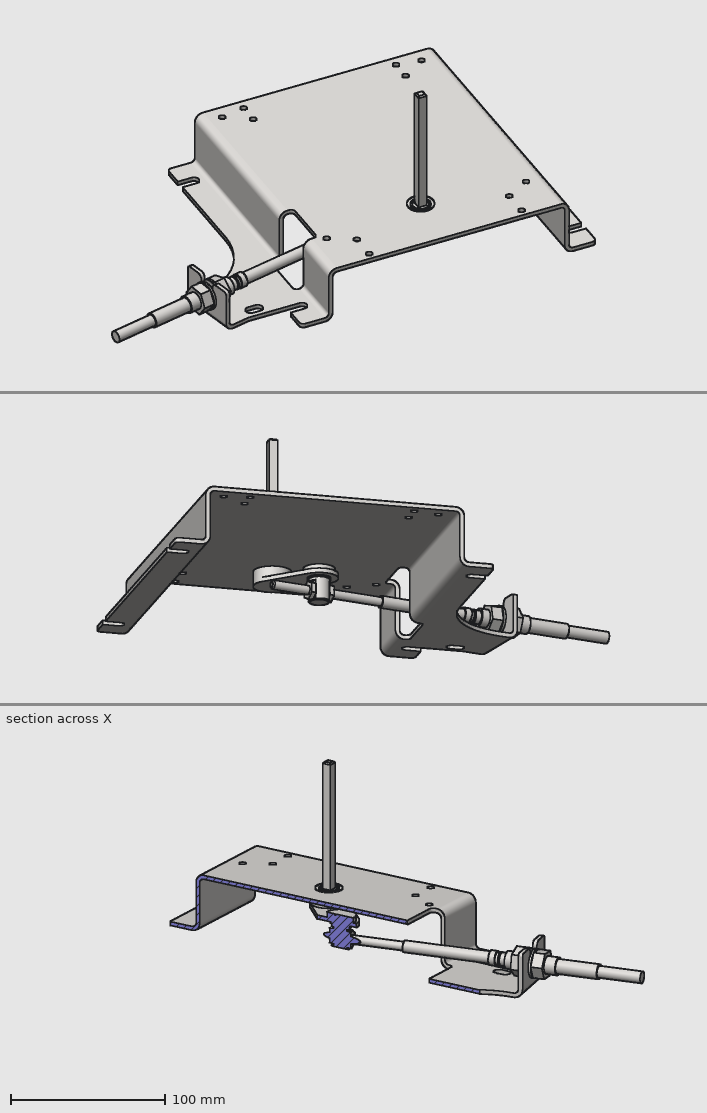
import cadquery as cq
import math

SHEET = 3.0
BEND_INNER = 3.0
BEND_OUTER = BEND_INNER + SHEET
BRACKET_WIDTH = 196.0
BRACKET_LENGTH = 214.0
BRACKET_HEIGHT = 40.0
FOOT_LENGTH = 20.0
FOOT_CORNER_RADIUS = 3.0
FOOT_SLOT_SPACING = 158.0
FOOT_SLOT_WIDTH = 7.0
FOOT_SLOT_DEPTH = 13.5
HALF_LENGTH = BRACKET_LENGTH / 2
DECK_UNDERSIDE = BRACKET_HEIGHT - SHEET

MOUNT_HOLE_DIAMETER = 4.5
OUTER_HOLES_X = (-87.8, 65.0)
OUTER_HOLES_Y = 72.2
INNER_HOLES_X = (-90.8, -76.8, 74.8, 92.8)
INNER_HOLES_Y = 55.2

WINDOW_X = (25.6, 60.9)
WINDOW_Y = (-93.5, -76.9)
WINDOW_CORNER_RADIUS = 3.0

CABLE_ANGLE = 12.0
CABLE_Z = 17.65
LUG_X = 59.5
LUG_Y = -154.86
LUG_WIDTH = 40.0
LUG_HEIGHT = 30.5
LUG_CORNER_RADIUS = 2.0
LUG_NOTCH_WIDTH = 12.0
LUG_NOTCH_RADIUS = 3.5
APRON_ARC_RADIUS = 51.5
APRON_SLOT_X = 68.4
APRON_SLOT_Y = -126.4
APRON_SLOT_LENGTH = 12.0
APRON_SLOT_WIDTH = 7.0

SHAFT_X = 56.7
SHAFT_SQUARE = 6.0
SHAFT_TOP = 127.0
SHAFT_CHAMFER = 1.0
HUB_DIAMETER = 25.0
BUSHING_DIAMETER = 18.0
GROOVE_OUTER = 13.5
GROOVE_INNER = 11.0
BUSHING_RECESS = 0.5
GROOVE_DEPTH = 0.5
LEVER_WIDTH = 25.0
LEVER_LENGTH = 35.0
LEVER_THICKNESS = 3.0
LEVER_ANGLE = 225.0
LEVER_BOTTOM = 27.0
LEVER_TOP = LEVER_BOTTOM + LEVER_THICKNESS
PIVOT_X = SHAFT_X + LEVER_LENGTH * math.cos(math.radians(LEVER_ANGLE))
PIVOT_Y = LEVER_LENGTH * math.sin(math.radians(LEVER_ANGLE))

PIN_HEAD_DIAMETER = 20.8
PIN_HEAD_TOP = 33.5
PIN_DIAMETER = 14.0
PIN_BOTTOM = 10.5
PIN_CHAMFER = 0.8
PIN_FLAT_OFFSET = 5.0
PIN_FLAT_HEIGHT = 12.8
PIN_WASHER_DIAMETER = 15.3
PIN_WASHER_THICKNESS = 1.0
CLAMP_NUT_FLATS = 11.0
CLAMP_NUT_THICKNESS = 3.2
CLAMP_NUT_TURN = 25.0

ROD_DIAMETER = 6.0
ROD_START = -167.7
ROD_CHAMFER = 1.0
TUBE_START = -88.2
THREAD_START = -16.6
CABLE_END = 77.0
CABLE_SECTIONS = (
    (8.0, TUBE_START, -28.3),
    (10.0, -28.3, -23.9),
    (8.0, -23.9, -21.7),
    (9.4, -21.7, -20.6),
    (9.0, -20.6, THREAD_START),
    (12.0, THREAD_START, 18.6),
    (10.0, 18.6, 47.1),
    (8.0, 47.1, CABLE_END),
)
NUT_FLATS = 17.0
NUT_THICKNESS = 7.8
INNER_NUT_TURN = 17.0
OUTER_NUT_TURN = -5.0
WASHER_DIAMETER = 19.5
WASHER_THICKNESS = 1.7

ANGLE = math.radians(CABLE_ANGLE)
CABLE_PLANE = cq.Plane(
    origin=(LUG_X, LUG_Y, CABLE_Z),
    xDir=(math.cos(ANGLE), math.sin(ANGLE), 0),
    normal=(math.sin(ANGLE), -math.cos(ANGLE), 0),
)
PIVOT_STATION = CABLE_PLANE.toLocalCoords(cq.Vector(PIVOT_X, PIVOT_Y, CABLE_Z)).z


def along_cable(station):
    """Workplane square to the cable, a given distance along it from the lug."""
    return cq.Workplane(CABLE_PLANE).workplane(offset=station)


def lug_point(across, station):
    """X, Y of a point given across the lug and along the cable."""
    point = CABLE_PLANE.toWorldCoords((across, 0, station))
    return point.x, point.y


def cylinder(x, y, diameter, bottom, top):
    return cq.Workplane("XY", origin=(x, y, bottom)).circle(diameter / 2).extrude(top - bottom)


def round_bends(sheet, bends):
    """Round edges of a folded sheet, each bend being a point on the edge and its radius."""
    for point, radius in bends:
        sheet = sheet.edges(cq.selectors.NearestToPointSelector(point)).fillet(radius)
    return sheet


def make_bracket():
    web = HALF_LENGTH - FOOT_LENGTH
    half_profile = [
        (web, BRACKET_HEIGHT),
        (web, SHEET),
        (HALF_LENGTH, SHEET),
        (HALF_LENGTH, 0),
        (web - SHEET, 0),
        (web - SHEET, DECK_UNDERSIDE),
    ]
    mirrored = [(-y, z) for y, z in reversed(half_profile)]
    bracket = (
        cq.Workplane("YZ")
        .polyline(half_profile + mirrored)
        .close()
        .extrude(BRACKET_WIDTH / 2, both=True)
    )
    for side in (-1, 1):
        outer_face = side * web
        inner_face = side * (web - SHEET)
        bracket = round_bends(bracket, [
            ((0, outer_face, BRACKET_HEIGHT), BEND_OUTER),
            ((0, inner_face, DECK_UNDERSIDE), BEND_INNER),
            ((0, outer_face, SHEET), BEND_INNER),
            ((0, inner_face, 0), BEND_OUTER),
        ])
    foot_corners = bracket.edges("|Z").edges("<Y or >Y")
    return foot_corners.fillet(FOOT_CORNER_RADIUS)


def make_apron():
    """Flat extension of the front foot that reaches out to the lug."""
    bend_start = -SHEET / 2 - BEND_INNER
    left = lug_point(-LUG_WIDTH / 2, bend_start)
    right = lug_point(LUG_WIDTH / 2, bend_start)
    front = -HALF_LENGTH
    overlap = front + FOOT_CORNER_RADIUS
    right_edge = (FOOT_SLOT_SPACING - FOOT_SLOT_WIDTH) / 2
    kink_y = right[1] + (right[0] - right_edge) / math.tan(ANGLE)

    arc_y = front - APRON_ARC_RADIUS
    end_angle = math.asin((left[1] - arc_y) / APRON_ARC_RADIUS)
    arc_x = left[0] - APRON_ARC_RADIUS * math.cos(end_angle)
    middle_angle = (math.pi / 2 + end_angle) / 2
    arc_middle = (
        arc_x + APRON_ARC_RADIUS * math.cos(middle_angle),
        arc_y + APRON_ARC_RADIUS * math.sin(middle_angle),
    )
    apron = (
        cq.Workplane("XY")
        .moveTo(arc_x, overlap)
        .lineTo(arc_x, front)
        .threePointArc(arc_middle, left)
        .lineTo(*right)
        .lineTo(right_edge, kink_y)
        .lineTo(right_edge, overlap)
        .close()
        .extrude(SHEET)
    )
    slot = (
        cq.Workplane("XY", origin=(APRON_SLOT_X, APRON_SLOT_Y, 0))
        .slot2D(APRON_SLOT_LENGTH, APRON_SLOT_WIDTH, 90)
        .extrude(SHEET)
    )
    return apron.cut(slot)


def make_lug():
    """Upturned end of the apron, with a notch that is open at the top."""
    outer = SHEET / 2
    inner = -outer
    bend_start = inner - BEND_INNER
    side_plane = cq.Plane(
        origin=(LUG_X, LUG_Y, 0), xDir=CABLE_PLANE.zDir, normal=-CABLE_PLANE.xDir
    )
    lug = (
        cq.Workplane(side_plane)
        .moveTo(bend_start, 0)
        .radiusArc((outer, BEND_OUTER), -BEND_OUTER)
        .lineTo(outer, LUG_HEIGHT)
        .lineTo(inner, LUG_HEIGHT)
        .lineTo(inner, BEND_OUTER)
        .radiusArc((bend_start, SHEET), BEND_INNER)
        .close()
        .extrude(LUG_WIDTH / 2, both=True)
    )
    notch_radius = LUG_NOTCH_WIDTH / 2
    notch_top = LUG_HEIGHT - CABLE_Z
    notch = (
        along_cable(inner)
        .moveTo(-notch_radius, notch_top)
        .lineTo(-notch_radius, 0)
        .threePointArc((0, -notch_radius), (notch_radius, 0))
        .lineTo(notch_radius, notch_top)
        .close()
        .extrude(SHEET)
    )
    lug = lug.cut(notch)
    for side in (-1, 1):
        for across, radius in ((LUG_WIDTH / 2, LUG_CORNER_RADIUS), (notch_radius, LUG_NOTCH_RADIUS)):
            corner = (*lug_point(side * across, 0), LUG_HEIGHT)
            lug = lug.edges(cq.selectors.NearestToPointSelector(corner)).fillet(radius)
    return lug


def cut_foot_slots(body):
    for x in (-FOOT_SLOT_SPACING / 2, FOOT_SLOT_SPACING / 2):
        for side in (-1, 1):
            slot = (
                cq.Workplane("XY", origin=(x, side * HALF_LENGTH, 0))
                .slot2D(2 * FOOT_SLOT_DEPTH, FOOT_SLOT_WIDTH, 90)
                .extrude(SHEET)
            )
            body = body.cut(slot)
    return body


def cut_mount_holes(body):
    outer = [(x, side * OUTER_HOLES_Y) for x in OUTER_HOLES_X for side in (-1, 1)]
    inner = [(x, side * INNER_HOLES_Y) for x in INNER_HOLES_X for side in (-1, 1)]
    holes = (
        cq.Workplane("XY", origin=(0, 0, DECK_UNDERSIDE))
        .pushPoints(outer + inner)
        .circle(MOUNT_HOLE_DIAMETER / 2)
        .extrude(SHEET)
    )
    return body.cut(holes)


def cut_window(body):
    size_x = WINDOW_X[1] - WINDOW_X[0]
    size_y = WINDOW_Y[1] - WINDOW_Y[0]
    window = (
        cq.Workplane("XY", origin=(sum(WINDOW_X) / 2, sum(WINDOW_Y) / 2, 0))
        .rect(size_x, size_y)
        .extrude(BRACKET_HEIGHT)
        .edges("|Z")
        .fillet(WINDOW_CORNER_RADIUS)
    )
    return body.cut(window)


def cut_bushing_rings(body):
    """Slightly sunk bushing face with a groove, round the shaft."""
    face = BRACKET_HEIGHT - BUSHING_RECESS
    groove_bottom = face - GROOVE_DEPTH
    recess = cylinder(SHAFT_X, 0, BUSHING_DIAMETER, face, BRACKET_HEIGHT)
    groove = cylinder(SHAFT_X, 0, GROOVE_OUTER, groove_bottom, face).cut(
        cylinder(SHAFT_X, 0, GROOVE_INNER, groove_bottom, face)
    )
    return body.cut(recess).cut(groove)


def make_shaft():
    return (
        cq.Workplane("XY", origin=(SHAFT_X, 0, LEVER_BOTTOM))
        .rect(SHAFT_SQUARE, SHAFT_SQUARE)
        .extrude(SHAFT_TOP - LEVER_BOTTOM)
        .faces(">Z")
        .chamfer(SHAFT_CHAMFER)
    )


def make_lever():
    hub = cylinder(SHAFT_X, 0, HUB_DIAMETER, LEVER_BOTTOM, DECK_UNDERSIDE)
    middle = ((SHAFT_X + PIVOT_X) / 2, PIVOT_Y / 2, LEVER_BOTTOM)
    arm = (
        cq.Workplane("XY", origin=middle)
        .slot2D(LEVER_LENGTH + LEVER_WIDTH, LEVER_WIDTH, LEVER_ANGLE)
        .extrude(LEVER_THICKNESS)
    )
    return hub.union(arm)


def make_pin():
    body = cylinder(PIVOT_X, PIVOT_Y, PIN_DIAMETER, PIN_BOTTOM, LEVER_BOTTOM)
    body = body.faces("<Z").chamfer(PIN_CHAMFER)
    flat_depth = PIN_DIAMETER / 2 - PIN_FLAT_OFFSET
    for start in (PIN_FLAT_OFFSET, -PIN_FLAT_OFFSET - flat_depth):
        flat = along_cable(PIVOT_STATION + start).rect(PIN_DIAMETER, PIN_FLAT_HEIGHT).extrude(flat_depth)
        body = body.cut(flat)
    washer_bottom = LEVER_BOTTOM - PIN_WASHER_THICKNESS
    washer = cylinder(PIVOT_X, PIVOT_Y, PIN_WASHER_DIAMETER, washer_bottom, LEVER_BOTTOM)
    head = cylinder(PIVOT_X, PIVOT_Y, PIN_HEAD_DIAMETER, LEVER_TOP, PIN_HEAD_TOP)
    return body.union(washer).union(head)


def make_nut(start, thickness, flats, turn):
    """Hexagonal nut on the cable line, turned about it."""
    corners = flats / math.cos(math.pi / 6)
    return (
        along_cable(start)
        .transformed(rotate=(0, 0, turn))
        .polygon(6, corners)
        .extrude(thickness)
    )


def make_cable():
    cable = along_cable(ROD_START).circle(ROD_DIAMETER / 2).extrude(TUBE_START - ROD_START)
    cable = cable.faces(cq.selectors.DirectionMinMaxSelector(CABLE_PLANE.zDir, False))
    cable = cable.chamfer(ROD_CHAMFER)
    for diameter, start, end in CABLE_SECTIONS:
        cable = cable.union(along_cable(start).circle(diameter / 2).extrude(end - start))
    return cable


def make_lug_fasteners():
    """A washer and a nut against each face of the lug."""
    face = SHEET / 2
    reach = face + WASHER_THICKNESS
    inner_washer = along_cable(-reach).circle(WASHER_DIAMETER / 2).extrude(WASHER_THICKNESS)
    outer_washer = along_cable(face).circle(WASHER_DIAMETER / 2).extrude(WASHER_THICKNESS)
    inner_nut = make_nut(-reach - NUT_THICKNESS, NUT_THICKNESS, NUT_FLATS, INNER_NUT_TURN)
    outer_nut = make_nut(reach, NUT_THICKNESS, NUT_FLATS, OUTER_NUT_TURN)
    return inner_washer.union(outer_washer).union(inner_nut).union(outer_nut)


def make_clamp_nuts():
    """Nuts on the rod, one on each side of the pivot pin."""
    front = make_nut(
        PIVOT_STATION + PIN_FLAT_OFFSET, CLAMP_NUT_THICKNESS, CLAMP_NUT_FLATS, CLAMP_NUT_TURN
    )
    rear_start = PIVOT_STATION - PIN_FLAT_OFFSET - CLAMP_NUT_THICKNESS
    rear = make_nut(rear_start, CLAMP_NUT_THICKNESS, CLAMP_NUT_FLATS, CLAMP_NUT_TURN)
    return front.union(rear)


plate = make_bracket().union(make_apron()).union(make_lug())
plate = cut_foot_slots(plate)
plate = cut_mount_holes(plate)
plate = cut_window(plate)
plate = cut_bushing_rings(plate)

result = plate.union(make_lever()).union(make_shaft()).union(make_pin())
result = result.union(make_cable()).union(make_lug_fasteners()).union(make_clamp_nuts())